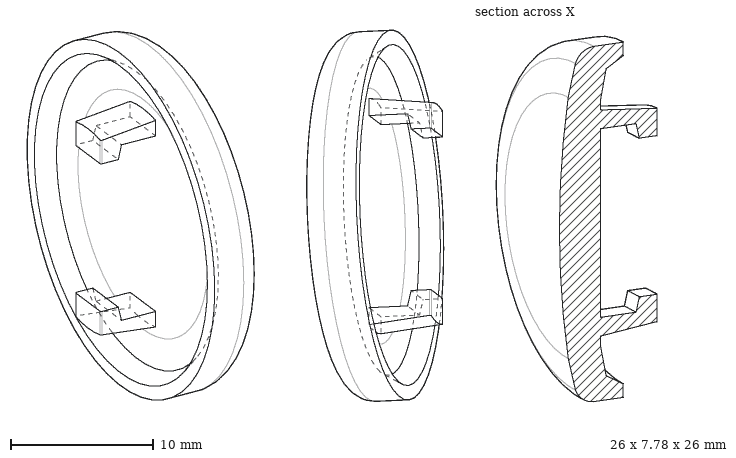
import cadquery as cq
import math


outer_radius = 13.0
side_height = 2.37
shoulder_radius = 11.93
shoulder_height = 3.82
shoulder_bulge_radius = 1.65
crown_radius = 9.55
crown_height = 4.4
dome_height = 5.1

mouth_radius = 11.99
step_radius = 11.2
step_depth = 1.35
floor_radius = 9.0
floor_depth = 1.8

clip_width = 3.54
clip_length = 2.68
clip_root_radius = 8.27
clip_tip_radius = 7.8
clip_inner_offset = 6.86
hook_inner_offset = 5.77
hook_start = 1.0
hook_full = 1.25
clip_corner_radius = 0.1
clip_embed = 0.25


def revolve_about_y(profile):
    return profile.close().revolve(360, (0, 0, 0), (0, 1, 0))


def make_shell():
    """Domed disc with a rounded shoulder, hollowed by a two-stage conical recess."""
    dome_rise = dome_height - crown_height
    dome_radius = (crown_radius**2 + dome_rise**2) / (2 * dome_rise)
    mid_radius = crown_radius / 2
    mid_height = dome_height - dome_radius + math.sqrt(dome_radius**2 - mid_radius**2)
    profile = (
        cq.Workplane("XY")
        .moveTo(0, floor_depth)
        .lineTo(floor_radius, floor_depth)
        .lineTo(step_radius, step_depth)
        .lineTo(mouth_radius, 0)
        .lineTo(outer_radius, 0)
        .lineTo(outer_radius, side_height)
        .radiusArc((shoulder_radius, shoulder_height), -shoulder_bulge_radius)
        .lineTo(crown_radius, crown_height)
        .threePointArc((mid_radius, mid_height), (0, dome_height))
    )
    return revolve_about_y(profile)


def make_clip():
    """Upper clip: hooked inward, with a tapered outer face concentric with the disc."""
    root = floor_depth + clip_embed
    hook = (
        cq.Workplane("YZ")
        .moveTo(root, clip_inner_offset)
        .lineTo(-hook_start, clip_inner_offset)
        .lineTo(-hook_full, hook_inner_offset)
        .lineTo(-clip_length, hook_inner_offset)
        .lineTo(-clip_length, outer_radius)
        .lineTo(root, outer_radius)
        .close()
        .extrude(clip_width / 2, both=True)
        .edges("|Z and <Y")
        .fillet(clip_corner_radius)
    )
    taper = (clip_root_radius - clip_tip_radius) / (floor_depth + clip_length)
    envelope = revolve_about_y(
        cq.Workplane("XY")
        .moveTo(0, -clip_length)
        .lineTo(clip_tip_radius, -clip_length)
        .lineTo(clip_root_radius + taper * clip_embed, root)
        .lineTo(0, root)
    )
    return hook.intersect(envelope)


result = make_shell()
for angle in (0, 180):
    result = result.union(make_clip().rotate((0, 0, 0), (0, 1, 0), angle))